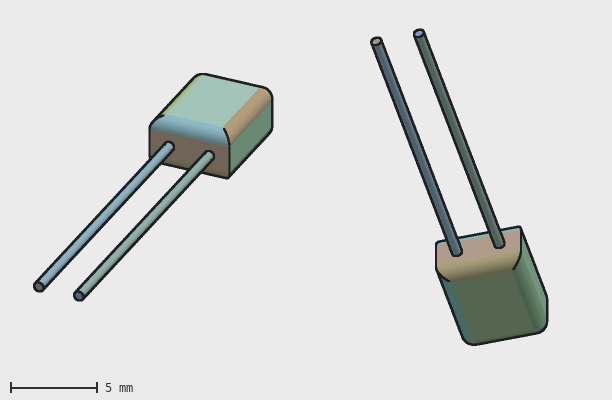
import cadquery as cq

total_length = 24.51
case_width = 5.08
case_length = 6.51
case_height = 3.19
edge_radius = 0.75

lead_diameter = 0.6
lead_spacing = 2.54
lead_length = total_length - case_length


def make_case():
    """Block whose lead face lies on Y = 0, centred on X and Z."""
    block = cq.Workplane("XY").box(
        case_width, case_length, case_height, centered=(True, False, True)
    )
    return block.edges("|X or |Y or (|Z and >Y)").fillet(edge_radius)


def make_lead(x):
    """Straight round wire running from the lead face toward -Y."""
    return cq.Workplane("XZ").center(x, 0).circle(lead_diameter / 2).extrude(lead_length)


case = make_case()
leads = [make_lead(side * lead_spacing / 2) for side in (-1, 1)]

result = cq.Compound.makeCompound([case.val(), *[lead.val() for lead in leads]])